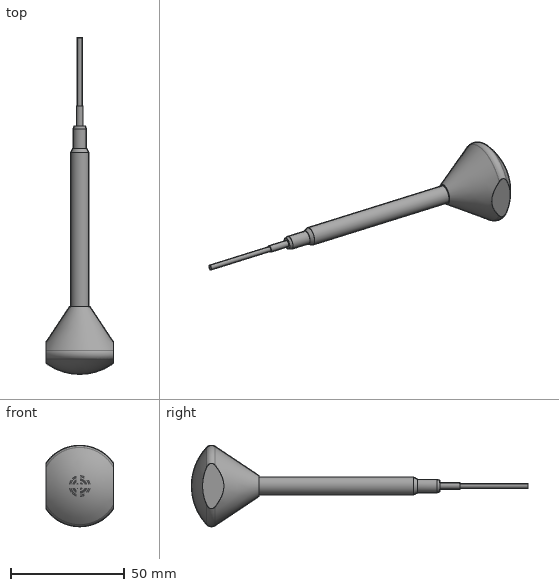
import cadquery as cq
import math

TOTAL_LENGTH = 149.0

KNOB_LENGTH = 30.0
KNOB_RADIUS = 18.0
DOME_RADIUS = 25.0
RIM_RADIUS = 3.0
CONE_HALF_ANGLE = math.radians(33.7)
FLAT_WIDTH = 30.0

HANDLE_END = 100.0
HANDLE_RADIUS = 4.0
SLEEVE_END = 110.0
SLEEVE_RADIUS = 3.0
FERRULE_END = 118.8
FERRULE_RADIUS = 1.5
ROD_RADIUS = 1.12

HANDLE_TAPER_LENGTH = 1.8
HANDLE_TAPER_DEPTH = 0.9
SLEEVE_TAPER_LENGTH = 1.3
SLEEVE_TAPER_DEPTH = 0.5


def on_arc(center, radius, angle):
    """Point (radial, axial) on an arc, with the angle measured from radially outward towards +Y."""
    return center[0] + radius * math.cos(angle), center[1] + radius * math.sin(angle)


def make_knob():
    """Dome, rounded rim and cone, all tangent, cut by two flats square to X."""
    rim_center_radial = KNOB_RADIUS - RIM_RADIUS
    rim_center_axial = DOME_RADIUS - math.sqrt((DOME_RADIUS - RIM_RADIUS) ** 2 - rim_center_radial**2)
    rim_center = (rim_center_radial, rim_center_axial)
    dome_center = (0, DOME_RADIUS)

    dome_join_angle = -math.acos(rim_center_radial / (DOME_RADIUS - RIM_RADIUS))
    dome_join = on_arc(rim_center, RIM_RADIUS, dome_join_angle)
    dome_middle = on_arc(dome_center, DOME_RADIUS, (dome_join_angle - math.pi / 2) / 2)
    rim_middle = on_arc(rim_center, RIM_RADIUS, (dome_join_angle + CONE_HALF_ANGLE) / 2)
    cone_join = on_arc(rim_center, RIM_RADIUS, CONE_HALF_ANGLE)
    neck_radius = cone_join[0] - (KNOB_LENGTH - cone_join[1]) * math.tan(CONE_HALF_ANGLE)

    turned = (
        cq.Workplane("ZY")
        .moveTo(0, 0)
        .threePointArc(dome_middle, dome_join)
        .threePointArc(rim_middle, cone_join)
        .lineTo(neck_radius, KNOB_LENGTH)
        .lineTo(0, KNOB_LENGTH)
        .close()
        .revolve(360, (0, 0), (0, 1))
    )
    between_flats = cq.Workplane("XY").box(FLAT_WIDTH, TOTAL_LENGTH, TOTAL_LENGTH)
    return turned.intersect(between_flats)


def make_shaft():
    """Handle, sleeve, ferrule and tip rod, from the knob to the tip."""
    return (
        cq.Workplane("ZY")
        .moveTo(0, KNOB_LENGTH)
        .lineTo(HANDLE_RADIUS, KNOB_LENGTH)
        .lineTo(HANDLE_RADIUS, HANDLE_END - HANDLE_TAPER_LENGTH)
        .lineTo(HANDLE_RADIUS - HANDLE_TAPER_DEPTH, HANDLE_END)
        .lineTo(SLEEVE_RADIUS, HANDLE_END)
        .lineTo(SLEEVE_RADIUS, SLEEVE_END - SLEEVE_TAPER_LENGTH)
        .lineTo(SLEEVE_RADIUS - SLEEVE_TAPER_DEPTH, SLEEVE_END)
        .lineTo(FERRULE_RADIUS, SLEEVE_END)
        .lineTo(FERRULE_RADIUS, FERRULE_END)
        .lineTo(ROD_RADIUS, FERRULE_END)
        .lineTo(ROD_RADIUS, TOTAL_LENGTH)
        .lineTo(0, TOTAL_LENGTH)
        .close()
        .revolve(360, (0, 0), (0, 1))
    )


result = make_knob().union(make_shaft())